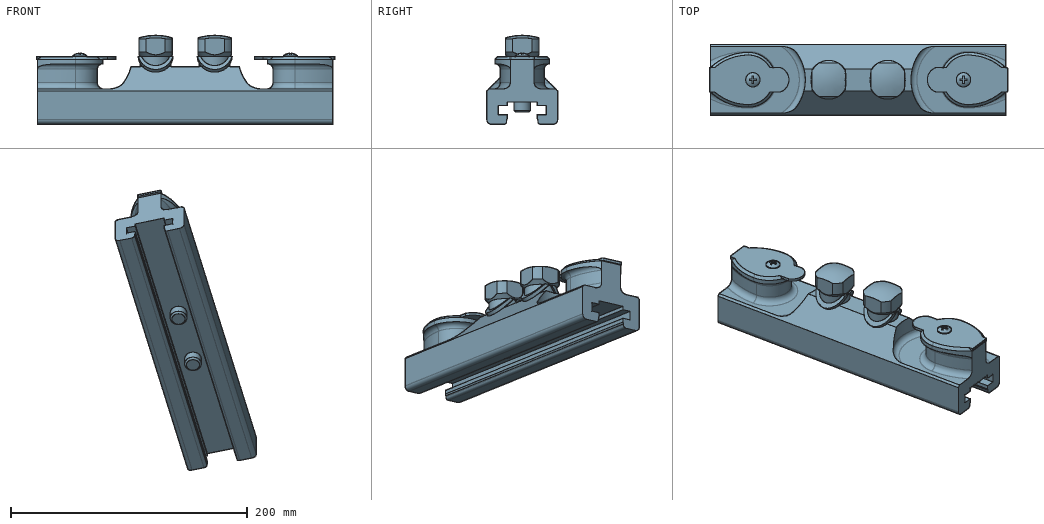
import cadquery as cq
import math

rail_length = 250.0
rail_half_width = 30.0
rail_shoulder_z = 28.2
ridge_top_z = 49.0
ridge_half_width = rail_half_width - (ridge_top_z - rail_shoulder_z)
rail_bottom_fillet = 4.0

channel_top_z = 19.0
channel_half_width = 12.5
slot_half_width = 20.2
slot_bottom_z = 8.3
slot_top_z = 16.0
mouth_half_width = 13.0
mouth_taper_z = 5.0
mouth_straight_z = 3.5
mouth_fillet = 2.5

floor_z = 30.0
pocket_center_x = 83.5
pocket_radius = 38.8
pocket_fillet = 5.0

post_center_x = 92.8
post_end_half_width = 10.0
post_tail_run = rail_length / 2 - post_center_x
neck_radius = 18.7
flange_radius = 23.2
post_base_fillet = 5.3
flange_bottom_z = 51.2
flange_edge_z = 55.0
post_top_z = 57.2
flange_chamfer = post_top_z - flange_edge_z
neck_top_fillet = flange_radius - neck_radius

tongue_half_width = 10.3
tongue_inner_x = 58.5
tongue_round_depth = 7.3
left_tongue_overhang = 0.63
right_tongue_overhang = 1.65
right_tongue_fillet = 1.3

screw_x = 89.0
screw_diameter = 12.0
screw_height = 3.0
screw_rim = 0.8
recess_span = 6.0
recess_width = 1.5
recess_depth = 2.0

bolt_x = 25.0
bolt_top_z = 75.5
head_bottom_z = 57.5
head_cone_top_z = 61.3
head_flat_width = 28.5
head_corner_radius = 16.5
head_edge_z = 72.5
shank_radius = 13.0
pin_diameter = 14.0
pin_bottom_z = 10.3
pin_chamfer = 1.5

saddle_half_length = 15.0
saddle_half_width = 14.0
saddle_thickness = 3.3

overlap = 2.5
margin = 0.3


def make_rail():
    """Right half of the section, mirrored and extruded along X."""
    half = (
        cq.Workplane("YZ", origin=(-rail_length / 2, 0, 0))
        .moveTo(0, ridge_top_z)
        .lineTo(ridge_half_width, ridge_top_z)
        .lineTo(rail_half_width, rail_shoulder_z)
        .lineTo(rail_half_width, rail_bottom_fillet)
        .radiusArc((rail_half_width - rail_bottom_fillet, 0), rail_bottom_fillet)
        .lineTo(mouth_half_width + mouth_fillet, 0)
        .radiusArc((mouth_half_width, mouth_fillet), mouth_fillet)
        .lineTo(mouth_half_width, mouth_straight_z)
        .lineTo(channel_half_width, mouth_taper_z)
        .lineTo(channel_half_width, slot_bottom_z)
        .lineTo(slot_half_width, slot_bottom_z)
        .lineTo(slot_half_width, slot_top_z)
        .lineTo(channel_half_width, slot_top_z)
        .lineTo(channel_half_width, channel_top_z)
        .lineTo(0, channel_top_z)
        .close()
        .extrude(rail_length)
    )
    return half.union(half.mirror("XZ"))


def make_pocket():
    """Cutter for the left pocket: round inner wall, open towards the rail end."""
    height = ridge_top_z - floor_z + overlap
    reach = rail_length / 2 - pocket_center_x + overlap
    round_part = (
        cq.Workplane("XY", origin=(-pocket_center_x, 0, floor_z))
        .circle(pocket_radius)
        .extrude(height)
        .faces("<Z").edges().fillet(pocket_fillet)
    )
    open_part = (
        cq.Workplane("XY", origin=(-pocket_center_x, 0, floor_z))
        .rect(-reach, 2 * pocket_radius, centered=(False, True))
        .extrude(height)
    )
    return round_part.union(open_part)


def arc_radius(run, drop):
    """Radius of an arc that falls by drop over a run from its tangent point."""
    return (run ** 2 + drop ** 2) / (2 * drop)


def post_outline(radius, bottom_z):
    """Half circle towards the rail middle, two tangent arcs to the rail end."""
    run = post_tail_run
    tail_radius = arc_radius(run, radius - post_end_half_width)
    mid_drop = tail_radius - math.sqrt(tail_radius ** 2 - (run / 2) ** 2)
    mid_y = radius - mid_drop
    return (
        cq.Workplane("XY", origin=(-post_center_x, 0, bottom_z))
        .moveTo(-run, -post_end_half_width)
        .threePointArc((-run / 2, -mid_y), (0, -radius))
        .threePointArc((radius, 0), (0, radius))
        .threePointArc((-run / 2, mid_y), (-run, post_end_half_width))
        .close()
    )


def outline_edges(z):
    """Selector for the edges of the left neck outline at height z, end edge left out."""
    return cq.selectors.BoxSelector(
        (-rail_length / 2 + margin, -neck_radius - margin, z - margin),
        (-post_center_x + neck_radius + margin, neck_radius + margin, z + margin),
    )


def make_neck():
    """Left neck from the pocket floor up to the flange."""
    return post_outline(neck_radius, floor_z).extrude(flange_bottom_z - floor_z)


def add_neck(rail):
    """Rail with the left neck rising from the pocket floor with a filleted foot."""
    return rail.union(make_neck()).edges(outline_edges(floor_z)).fillet(post_base_fillet)


def make_flange():
    """Left flange: chamfered rim above, concave fillet down to the neck below."""
    rim = post_outline(flange_radius, flange_bottom_z).extrude(post_top_z - flange_bottom_z)
    rim = rim.faces(">Z").edges("not(<X)").chamfer(flange_chamfer)

    plate = (
        cq.Workplane("XY", origin=(-rail_length / 2, 0, flange_bottom_z))
        .rect(rail_length / 2, 4 * flange_radius, centered=(False, True))
        .extrude(flange_edge_z - flange_bottom_z)
    )
    flared_neck = make_neck().union(plate).edges(outline_edges(flange_bottom_z)).fillet(neck_top_fillet)
    trim_bottom_z = flange_bottom_z - neck_top_fillet
    trim = post_outline(flange_radius, trim_bottom_z).extrude(flange_edge_z - trim_bottom_z)
    return rim.union(flared_neck.intersect(trim))


def make_tongue(overhang):
    """Left cover tongue with a rounded inner end, reaching past the rail end."""
    outer_x = -rail_length / 2 - overhang
    round_start_x = -tongue_inner_x - tongue_round_depth
    return (
        cq.Workplane("XY", origin=(0, 0, flange_edge_z))
        .moveTo(outer_x, -tongue_half_width)
        .lineTo(round_start_x, -tongue_half_width)
        .threePointArc((-tongue_inner_x, 0), (round_start_x, tongue_half_width))
        .lineTo(outer_x, tongue_half_width)
        .close()
        .extrude(post_top_z - flange_edge_z)
    )


def make_screw():
    """Left cover screw: domed head on a low rim, with a cross recess."""
    base = cq.Workplane("XY", origin=(-screw_x, 0, post_top_z))
    radius = screw_diameter / 2
    dome_radius = arc_radius(radius, screw_height - screw_rim)
    dome = (
        cq.Workplane("XY", origin=(-screw_x, 0, post_top_z + screw_height - dome_radius))
        .sphere(dome_radius)
        .intersect(base.circle(radius).extrude(screw_height))
    )
    recess = base.workplane(offset=screw_height - recess_depth)
    dome = dome.cut(recess.rect(recess_span, recess_width).extrude(recess_depth))
    return dome.cut(recess.rect(recess_width, recess_span).extrude(recess_depth))


def make_bolt():
    """Bolt on the Z axis: domed square head, shank and chamfered pin."""
    dome_drop = bolt_top_z - head_edge_z
    dome_radius = arc_radius(head_corner_radius, dome_drop)
    dome_mid_x = head_corner_radius / 2
    dome_mid_z = bolt_top_z - dome_radius + math.sqrt(dome_radius ** 2 - dome_mid_x ** 2)
    head = (
        cq.Workplane("XZ")
        .moveTo(0, head_bottom_z)
        .lineTo(shank_radius, head_bottom_z)
        .lineTo(head_corner_radius, head_cone_top_z)
        .lineTo(head_corner_radius, head_edge_z)
        .threePointArc((dome_mid_x, dome_mid_z), (0, bolt_top_z))
        .close()
        .revolve()
    )
    square = (
        cq.Workplane("XY", origin=(0, 0, head_bottom_z))
        .rect(head_flat_width, head_flat_width)
        .extrude(bolt_top_z - head_bottom_z)
    )
    shank = (
        cq.Workplane("XY", origin=(0, 0, floor_z))
        .circle(shank_radius)
        .extrude(head_bottom_z - floor_z)
    )
    pin = (
        cq.Workplane("XY", origin=(0, 0, pin_bottom_z))
        .circle(pin_diameter / 2)
        .extrude(floor_z - pin_bottom_z)
        .faces("<Z").chamfer(pin_chamfer)
    )
    return head.intersect(square).union(shank).union(pin)


def make_saddle():
    """Washer halves on the two flanks, oval when seen along the bolt axis."""
    apex_z = rail_shoulder_z + rail_half_width
    slope_plane = cq.Plane(origin=(0, 0, apex_z), xDir=(1, 0, 0), normal=(0, -1, 1))
    half = (
        cq.Workplane(slope_plane)
        .ellipse(saddle_half_length, saddle_half_width * math.sqrt(2))
        .extrude(saddle_thickness)
    )
    keep = (
        cq.Workplane("XY")
        .rect(4 * saddle_half_length, -4 * saddle_half_width, centered=(True, False))
        .extrude(head_bottom_z)
    )
    half = half.intersect(keep)
    return half.union(half.mirror("XZ"))


rail = add_neck(make_rail().cut(make_pocket()))
result = rail.union(make_flange()).union(make_screw())

left_half = result.intersect(
    cq.Workplane("XY")
    .rect(-rail_length, 4 * rail_half_width, centered=(False, True))
    .extrude(bolt_top_z)
)
result = left_half.union(left_half.mirror("YZ"))

left_tongue = make_tongue(left_tongue_overhang)
right_tongue = make_tongue(right_tongue_overhang).edges("|Z and <X").fillet(right_tongue_fillet)
result = result.union(left_tongue).union(right_tongue.mirror("YZ"))

bolt = make_bolt().union(make_saddle())
for x in (-bolt_x, bolt_x):
    result = result.union(bolt.translate((x, 0, 0)))